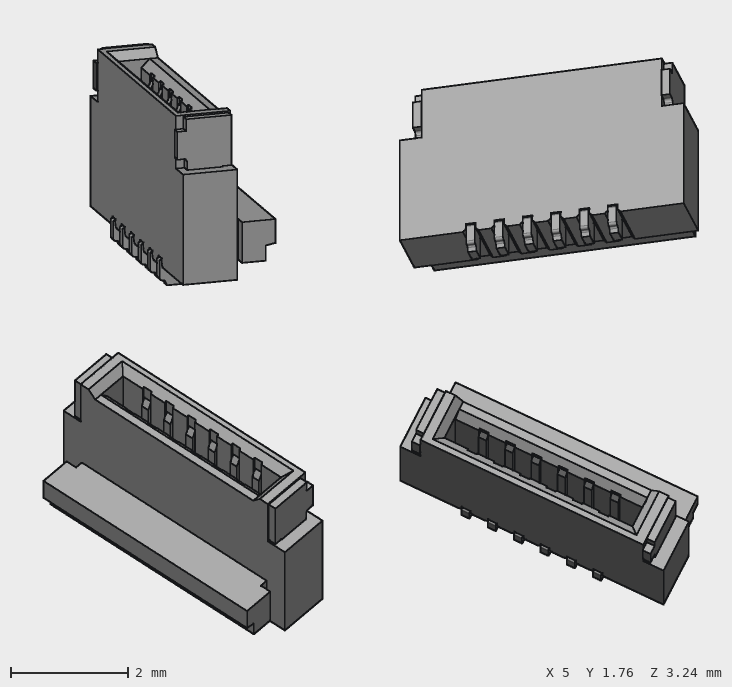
import cadquery as cq


HOUSING_WIDTH = 5.0
HOUSING_DEPTH = 0.975
HOUSING_HEIGHT = 2.895
SHOULDER_DROP = 0.935
SHOULDER_WIDTH = 0.385

CAVITY_WIDTH = 3.57
CAVITY_FRONT = 0.255
CAVITY_REAR = 0.675
CAVITY_DEPTH = 2.0
LEAD_IN = 0.15

CONTACT_COUNT = 6
CONTACT_PITCH = 0.5
CONTACT_WIDTH = 0.15
SLOT_WIDTH = 0.175
SLOT_DEPTH = 0.03
NOTCH_HEIGHT = 0.15
NOTCH_BEVEL = 0.05
BEAM_THICKNESS = 0.075
TIP_DROP = 0.38
TIP_BEVEL_HEIGHT = 0.15
BRIDGE_DROP = 0.2
BRIDGE_HEIGHT = 0.2
STEM_REAR = 0.365
FOOT_PROJECTION = 0.03
FOOT_TOP = 0.125
FOOT_TOP_ROUND = 0.035
FOOT_BOTTOM = -0.345
SOLE_HEIGHT = 0.095
SOLE_SLOPE_TOP = 0.06
SOLE_SLOPE_BOTTOM = 0.105
SOLE_FRONT_ROUND = 0.05
SOLE_INNER_ROUND = 0.04

TAB_THICKNESS = 0.15
TAB_TOP_DROP = 0.03
TAB_REAR_SETBACK = 0.025
TAB_UPPER_FRONT = 0.135
TAB_LOWER_FRONT = 0.15
TAB_FOOT_TOP_DROP = 0.24
TAB_FOOT_BOTTOM_DROP = 0.735
TAB_FOOT_PROJECTION = 0.025
TAB_FOOT_ROUND = 0.06
TAB_RELIEF_LENGTH = 0.16
TAB_RELIEF_HEIGHT = 0.015

LEVER_WIDTH = 4.6
LEVER_NECK_WIDTH = 4.175
LEVER_NECK_LENGTH = 0.15
LEVER_LENGTH = 0.75
LEVER_BOTTOM = 0.23
LEVER_HEIGHT = 0.725
LEVER_STEP_LENGTH = 0.175
LEVER_STEP_INNER_HEIGHT = 0.27
LEVER_STEP_OUTER_HEIGHT = 0.3

UPPER_WIDTH = HOUSING_WIDTH - 2 * SHOULDER_WIDTH
SHOULDER_Z = HOUSING_HEIGHT - SHOULDER_DROP
CAVITY_FLOOR = HOUSING_HEIGHT - CAVITY_DEPTH
REAR_WALL_TOP = HOUSING_HEIGHT - LEAD_IN
SLOT_FRONT = CAVITY_FRONT - SLOT_DEPTH
SLOT_REAR = CAVITY_REAR + SLOT_DEPTH
CONTACT_XS = [(i - (CONTACT_COUNT - 1) / 2) * CONTACT_PITCH for i in range(CONTACT_COUNT)]


def box(x_range, y_range, z_range):
    """Box between the given limits."""
    size = [high - low for low, high in (x_range, y_range, z_range)]
    corner = (x_range[0], y_range[0], z_range[0])
    return cq.Workplane("XY").box(*size, centered=False).translate(corner)


def centred_box(width, y_range, z_range):
    """Box that is symmetric about X = 0."""
    return box((-width / 2, width / 2), y_range, z_range)


def side_profile(points, width):
    """Closed (Y, Z) outline extruded symmetrically about X = 0."""
    return cq.Workplane("YZ").polyline(points).close().extrude(width / 2, both=True)


def make_cavity():
    """Mating cavity with its bevelled mouth, as a cutting solid."""
    cavity = centred_box(CAVITY_WIDTH, (CAVITY_FRONT, CAVITY_REAR), (CAVITY_FLOOR, HOUSING_HEIGHT))
    mouth_front = CAVITY_FRONT - LEAD_IN
    mouth_rear = HOUSING_DEPTH + 2 * LEAD_IN
    mouth = (
        cq.Workplane("XY", origin=(0, (mouth_front + mouth_rear) / 2, HOUSING_HEIGHT))
        .rect(CAVITY_WIDTH + 2 * LEAD_IN, mouth_rear - mouth_front)
        .extrude(-LEAD_IN, taper=45)
    )
    rear_bevel = side_profile(
        [
            (CAVITY_REAR, REAR_WALL_TOP),
            (CAVITY_REAR + LEAD_IN, REAR_WALL_TOP),
            (CAVITY_REAR, REAR_WALL_TOP - LEAD_IN),
        ],
        CAVITY_WIDTH,
    )
    return cavity.union(mouth).union(rear_bevel)


def make_contact_clearance():
    """Wall slots, bottom groove and front notch around the contact at X = 0, to be cut."""
    wall_slots = centred_box(SLOT_WIDTH, (SLOT_FRONT, SLOT_REAR), (CAVITY_FLOOR, HOUSING_HEIGHT))
    half_slot = SLOT_WIDTH / 2
    half_mouth = half_slot + NOTCH_BEVEL
    groove = (
        cq.Workplane("XZ")
        .polyline(
            [
                (-half_mouth, 0),
                (-half_slot, NOTCH_BEVEL),
                (half_slot, NOTCH_BEVEL),
                (half_mouth, 0),
            ]
        )
        .close()
        .extrude(-HOUSING_DEPTH)
    )
    notch = centred_box(SLOT_WIDTH, (0, STEM_REAR), (0, NOTCH_HEIGHT))
    return wall_slots.union(groove).union(notch)


def make_contact():
    """Fork contact at X = 0: two bevelled beams, a bridge, a stem and a solder foot."""
    tip_z = HOUSING_HEIGHT - TIP_DROP
    bevel_z = tip_z - TIP_BEVEL_HEIGHT
    bridge_top = CAVITY_FLOOR - BRIDGE_DROP
    bridge_bottom = bridge_top - BRIDGE_HEIGHT
    foot_front = -FOOT_PROJECTION
    sole_z = FOOT_BOTTOM + SOLE_HEIGHT
    contact = side_profile(
        [
            (SLOT_FRONT, tip_z),
            (SLOT_FRONT + BEAM_THICKNESS, bevel_z),
            (SLOT_FRONT + BEAM_THICKNESS, bridge_top),
            (SLOT_REAR - BEAM_THICKNESS, bridge_top),
            (SLOT_REAR - BEAM_THICKNESS, bevel_z),
            (SLOT_REAR, tip_z),
            (SLOT_REAR, bridge_bottom),
            (STEM_REAR, bridge_bottom),
            (STEM_REAR, FOOT_BOTTOM),
            (SOLE_SLOPE_BOTTOM, FOOT_BOTTOM),
            (SOLE_SLOPE_TOP, sole_z),
            (foot_front, sole_z),
            (foot_front, FOOT_TOP),
            (SLOT_FRONT, FOOT_TOP),
        ],
        CONTACT_WIDTH,
    )
    rounds = [
        ((0, foot_front, FOOT_TOP), FOOT_TOP_ROUND),
        ((0, foot_front, sole_z), SOLE_FRONT_ROUND),
        ((0, SOLE_SLOPE_TOP, sole_z), SOLE_INNER_ROUND),
    ]
    for corner, radius in rounds:
        contact = contact.edges(cq.selectors.NearestToPointSelector(corner)).fillet(radius)
    return contact


def make_housing(contacts):
    """Stepped block with the cavity and a fitted passage for every contact."""
    lower = centred_box(HOUSING_WIDTH, (0, HOUSING_DEPTH), (0, SHOULDER_Z))
    upper = centred_box(UPPER_WIDTH, (0, HOUSING_DEPTH), (0, HOUSING_HEIGHT))
    housing = lower.union(upper).cut(make_cavity())
    clearance = make_contact_clearance()
    for x, contact in zip(CONTACT_XS, contacts):
        housing = housing.cut(clearance.translate((x, 0, 0))).cut(contact)
    return housing


def make_tab(side):
    """Solder tab on a shoulder; side is -1 for the -X end and +1 for the +X end."""
    rear = HOUSING_DEPTH - TAB_REAR_SETBACK
    top = HOUSING_HEIGHT - TAB_TOP_DROP
    foot_top = HOUSING_HEIGHT - TAB_FOOT_TOP_DROP
    foot_bottom = HOUSING_HEIGHT - TAB_FOOT_BOTTOM_DROP
    relief_top = SHOULDER_Z + TAB_RELIEF_HEIGHT
    relief_front = rear - TAB_RELIEF_LENGTH
    tab = side_profile(
        [
            (rear, top),
            (TAB_UPPER_FRONT, top),
            (TAB_UPPER_FRONT, foot_top),
            (-TAB_FOOT_PROJECTION, foot_top),
            (-TAB_FOOT_PROJECTION, foot_bottom),
            (TAB_LOWER_FRONT, foot_bottom),
            (TAB_LOWER_FRONT, SHOULDER_Z),
            (relief_front, SHOULDER_Z),
            (relief_front, relief_top),
            (rear, relief_top),
        ],
        TAB_THICKNESS,
    )
    inner_corner = cq.selectors.NearestToPointSelector((0, TAB_LOWER_FRONT, foot_bottom))
    tab = tab.edges(inner_corner).fillet(TAB_FOOT_ROUND)
    return tab.translate((side * (UPPER_WIDTH + TAB_THICKNESS) / 2, 0, 0))


def make_lever():
    """Lever against the rear face: a narrow neck, a wide bar and a stepped underside."""
    lever_rear = HOUSING_DEPTH + LEVER_LENGTH
    neck_rear = HOUSING_DEPTH + LEVER_NECK_LENGTH
    step_front = lever_rear - LEVER_STEP_LENGTH
    lever_top = LEVER_BOTTOM + LEVER_HEIGHT
    neck = centred_box(LEVER_NECK_WIDTH, (HOUSING_DEPTH, neck_rear), (LEVER_BOTTOM, lever_top))
    bar = side_profile(
        [
            (neck_rear, LEVER_BOTTOM),
            (step_front, LEVER_BOTTOM),
            (step_front, LEVER_BOTTOM + LEVER_STEP_INNER_HEIGHT),
            (lever_rear, LEVER_BOTTOM + LEVER_STEP_OUTER_HEIGHT),
            (lever_rear, lever_top),
            (neck_rear, lever_top),
        ],
        LEVER_WIDTH,
    )
    return neck.union(bar)


master_contact = make_contact()
contacts = [master_contact.translate((x, 0, 0)) for x in CONTACT_XS]
housing = make_housing(contacts)
tabs = [make_tab(side) for side in (-1, 1)]
lever = make_lever()

result = cq.Compound.makeCompound(
    [
        housing.solids().val(),
        *[contact.solids().val() for contact in contacts],
        *[tab.solids().val() for tab in tabs],
        lever.solids().val(),
    ]
)